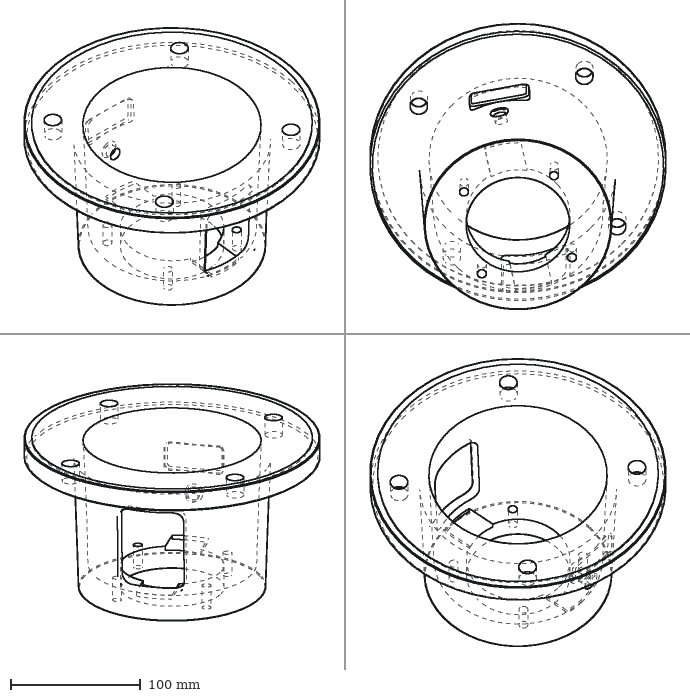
import cadquery as cq
import math

flange_diameter = 228.5
total_height = 124.0
draft_angle = 2.0
draft = math.tan(math.radians(draft_angle))

tolerance = 0.2

flange_thickness = 16.5
flange_bottom = total_height - flange_thickness
flange_radius = flange_diameter / 2
flange_top_chamfer = 0.7
flange_lower_chamfer_height = 1.4
flange_lower_chamfer_width = 1.8
recess_radius = 108.4
recess_depth = 2.3
recess_corner_radius = 1.5

neck_radius = 76.1
neck_fillet = 1.1
base_radius = neck_radius - flange_bottom * draft
base_chamfer = 0.7
bore_top_radius = 68.8
floor_thickness = 18.3
recess_floor = total_height - recess_depth
bore_floor_radius = bore_top_radius - (recess_floor - floor_thickness) * draft
bore_floor_fillet = 1.8

pilot_radius = 40.0
channel_width = 28.3
channel_depth = 3.5
channel_end_radius = 63.0
channel_edge_fillet = 1.1
pump_hole_diameter = 6.9
pump_hole_spacing = 70.9

flange_hole_diameter = 13.5
flange_hole_spacing = 130.3

window_width = 50.7
window_bottom = 25.0
window_top = 90.8
window_corner_radius = 8.0
window_edge_fillet = 1.1

plate_width = 46.6
plate_height = 22.6
plate_center_z = 79.0
plate_face_x = -76.4
plate_corner_radius = 4.1
plate_edge_chamfer = 1.5
side_hole_diameter = 9.5
side_hole_z = 50.0
side_hole_mouth_diameter = 14.6


def make_body():
    """Flange and solid tapered neck."""
    flange = (
        cq.Workplane("XZ")
        .moveTo(0, flange_bottom)
        .lineTo(flange_radius - flange_lower_chamfer_width, flange_bottom)
        .lineTo(flange_radius, flange_bottom + flange_lower_chamfer_height)
        .lineTo(flange_radius, total_height - flange_top_chamfer)
        .lineTo(flange_radius - flange_top_chamfer, total_height)
        .lineTo(0, total_height)
        .close()
        .revolve(360, (0, 0), (0, 1))
    )
    neck = (
        cq.Workplane("XY")
        .circle(base_radius)
        .extrude(flange_bottom, taper=-draft_angle)
        .faces("<Z")
        .chamfer(base_chamfer)
    )
    body = flange.union(neck)
    root_reach = neck_radius + tolerance
    root = cq.selectors.BoxSelector(
        (-root_reach, -root_reach, flange_bottom - tolerance),
        (root_reach, root_reach, flange_bottom + tolerance),
        boundingbox=True,
    )
    return body.edges(root).fillet(neck_fillet)


def make_cavity():
    """Drafted bore with a rounded floor corner."""
    return (
        cq.Workplane("XY", origin=(0, 0, floor_thickness))
        .circle(bore_floor_radius)
        .extrude(total_height - floor_thickness, taper=-draft_angle)
        .faces("<Z")
        .edges()
        .fillet(bore_floor_fillet)
    )


def make_recess():
    """Shallow recess in the top of the flange."""
    return (
        cq.Workplane("XY", origin=(0, 0, recess_floor))
        .circle(recess_radius)
        .extrude(recess_depth)
        .faces("<Z")
        .edges()
        .fillet(recess_corner_radius)
    )


def make_channel():
    """Channel along X across the cup floor, with rounded bottom edges."""
    bar = (
        cq.Workplane("XY", origin=(0, 0, floor_thickness - channel_depth))
        .rect(2 * flange_radius, channel_width)
        .extrude(2 * channel_depth)
        .edges("|X and <Z")
        .fillet(channel_edge_fillet)
    )
    limit = (
        cq.Workplane("XY", origin=(0, 0, floor_thickness - channel_depth))
        .circle(channel_end_radius)
        .extrude(2 * channel_depth)
    )
    return bar.intersect(limit)


def make_square_holes(spacing, diameter):
    """Four full-height drills on a square."""
    return (
        cq.Workplane("XY")
        .rect(spacing, spacing, forConstruction=True)
        .vertices()
        .circle(diameter / 2)
        .extrude(total_height)
    )


def make_window():
    """Rounded rectangular cutter through the +X wall."""
    return (
        cq.Workplane("YZ", origin=(0, 0, (window_bottom + window_top) / 2))
        .rect(window_width, window_top - window_bottom)
        .extrude(flange_radius)
        .edges("|X")
        .fillet(window_corner_radius)
    )


def is_window_rim(edge):
    """True for the curved edges where the window meets the outside of the cup wall."""
    center = edge.Center()
    mid_wall_radius = (base_radius + bore_floor_radius) / 2 + center.z * draft
    in_height = window_bottom - tolerance < center.z < window_top + tolerance
    in_width = center.x > 0 and abs(center.y) < window_width / 2 + tolerance
    on_outside = math.hypot(center.x, center.y) > mid_wall_radius
    return in_height and in_width and on_outside and edge.geomType() != "LINE"


def make_plate():
    """Flat-faced name plate standing out of the -X wall."""
    return (
        cq.Workplane("YZ", origin=(plate_face_x, 0, plate_center_z))
        .rect(plate_width, plate_height)
        .extrude(neck_radius - bore_top_radius)
        .edges("|X")
        .fillet(plate_corner_radius)
        .faces("<X")
        .chamfer(plate_edge_chamfer)
    )


def make_side_hole():
    """Hole through the -X wall with a conical mouth."""
    wall_x = -(base_radius + side_hole_z * draft)
    mouth_depth = (side_hole_mouth_diameter - side_hole_diameter) / 2
    drill = (
        cq.Workplane("YZ", origin=(wall_x - mouth_depth, 0, side_hole_z))
        .circle(side_hole_diameter / 2)
        .extrude(-wall_x)
    )
    mouth = (
        cq.Workplane("YZ", origin=(wall_x, 0, side_hole_z))
        .circle(side_hole_mouth_diameter / 2)
        .workplane(offset=mouth_depth)
        .circle(side_hole_diameter / 2)
        .loft()
    )
    return drill.union(mouth)


def make_pilot_bore():
    """Central through bore in the cup floor."""
    return cq.Workplane("XY").circle(pilot_radius).extrude(total_height)


def make_part():
    """Assemble the body, cut the hollows, then add the plate and drill the holes."""
    part = make_body().cut(make_cavity()).cut(make_recess())
    part = part.cut(make_window())
    part = part.edges().filter(is_window_rim).fillet(window_edge_fillet)
    part = part.union(make_plate())
    cutters = [
        make_side_hole(),
        make_channel(),
        make_pilot_bore(),
        make_square_holes(pump_hole_spacing, pump_hole_diameter),
        make_square_holes(flange_hole_spacing, flange_hole_diameter),
    ]
    for cutter in cutters:
        part = part.cut(cutter)
    return part


result = make_part()